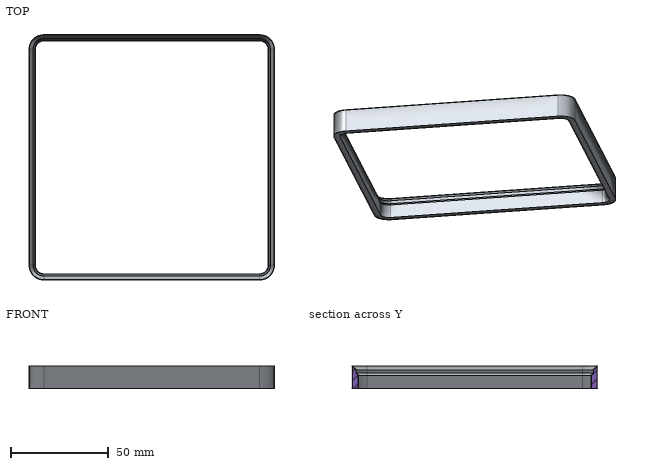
import cadquery as cq

side = 125.5
height = 11.7
corner_radius = 7.5
wall = 3.1

upper_chamfer = 2.0
step_height = 1.6
lower_chamfer = wall - upper_chamfer

upper_chamfer_bottom = height - upper_chamfer
step_bottom = upper_chamfer_bottom - step_height
lower_chamfer_bottom = step_bottom - lower_chamfer


def rounded_square(inset, bottom, depth):
    """Upright block whose rounded outline lies inset from the outer wall."""
    size = side - 2 * inset
    block = cq.Workplane("XY").workplane(offset=bottom).rect(size, size).extrude(depth)
    return block.edges("|Z").fillet(corner_radius - inset)


def chamfered_opening(top_inset, bottom, chamfer):
    """Cutter that narrows downward at 45 degrees from its top outline."""
    block = rounded_square(top_inset, bottom, chamfer + step_height)
    return block.faces("<Z").edges().chamfer(chamfer)


frame = rounded_square(0, 0, height)
through_opening = rounded_square(wall, 0, height)
lower_opening = chamfered_opening(upper_chamfer, lower_chamfer_bottom, lower_chamfer)
upper_opening = chamfered_opening(0, upper_chamfer_bottom, upper_chamfer)

result = frame.cut(through_opening).cut(lower_opening).cut(upper_opening)